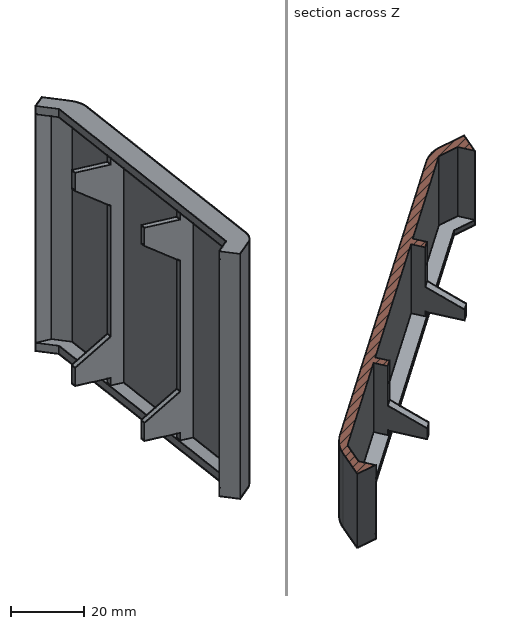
import cadquery as cq
import math

span = 80.74
height = 74.0
half_span = span / 2

leg_thickness = 6.0
leg_inner_length = 6.7
plate_thickness = 7.4
floor_thickness = 3.0
leg_wall = 2.5
cap_thickness = 2.5
bend_radius = 8.0

rib_spacing = 40.0
rib_thickness = 2.0
rib_low_height = 4.0
rib_tip_height = 15.1
rib_tip_outer_z = 32.2
rib_tip_inner_z = 26.7
rib_slope_end_z = 19.7

root2 = math.sqrt(2)
inner_line = leg_inner_length - leg_thickness
outer_line = inner_line + plate_thickness * root2
floor_line = outer_line - floor_thickness * root2

pocket_height = height - 2 * cap_thickness
pocket_shift = leg_thickness - leg_wall


def upright_prism(points, prism_height):
    """Extrude a plan outline along Z, centred on Z = 0."""
    return cq.Workplane("XY").polyline(points).close().extrude(prism_height / 2, both=True)


def with_mirror(points):
    """Complete an outline with its reflection in the plane X = Y."""
    return points + [(y, x) for x, y in reversed(points)]


def make_shell():
    """Diagonal plate with an end leg along X and another along Y, bends rounded outside."""
    outer_bend = (outer_line - half_span, half_span)
    leg_inner_y = half_span - leg_thickness
    inner_bend = (inner_line - leg_inner_y, leg_inner_y)
    points = with_mirror([
        inner_bend,
        (-half_span, leg_inner_y),
        (-half_span, half_span),
        outer_bend,
    ])
    shell = upright_prism(points, height)
    for x, y in with_mirror([outer_bend]):
        bend_edge = cq.selectors.NearestToPointSelector((x, y, 0))
        shell = shell.edges(bend_edge).fillet(bend_radius)
    return shell


def make_pocket():
    """Space between the caps; its end walls run square to the plate from the leg tips."""
    leg_inner_y = half_span - leg_thickness
    recessed_y = leg_inner_y + pocket_shift
    points = with_mirror([
        (-half_span, leg_inner_y),
        (-half_span + pocket_shift, recessed_y),
        (floor_line - recessed_y, recessed_y),
    ])
    return upright_prism(points, pocket_height)


def make_rib(offset):
    """Rib square to the floor, low in the middle with a raised tab near each cap."""
    along_plate = (1 / root2, -1 / root2, 0)
    out_of_pocket = (-1 / root2, -1 / root2, 0)
    origin = (
        floor_line / 2 + offset * along_plate[0],
        floor_line / 2 + offset * along_plate[1],
        0,
    )
    plane = cq.Plane(origin=origin, xDir=out_of_pocket, normal=along_plate)
    half_pocket = pocket_height / 2
    upper = [
        (0, half_pocket),
        (rib_low_height, half_pocket),
        (rib_low_height, rib_tip_outer_z),
        (rib_tip_height, rib_tip_outer_z),
        (rib_tip_height, rib_tip_inner_z),
        (rib_low_height, rib_slope_end_z),
    ]
    lower = [(x, -z) for x, z in reversed(upper)]
    return cq.Workplane(plane).polyline(upper + lower).close().extrude(rib_thickness / 2, both=True)


result = make_shell().cut(make_pocket())
for rib_offset in (-rib_spacing / 2, rib_spacing / 2):
    result = result.union(make_rib(rib_offset))